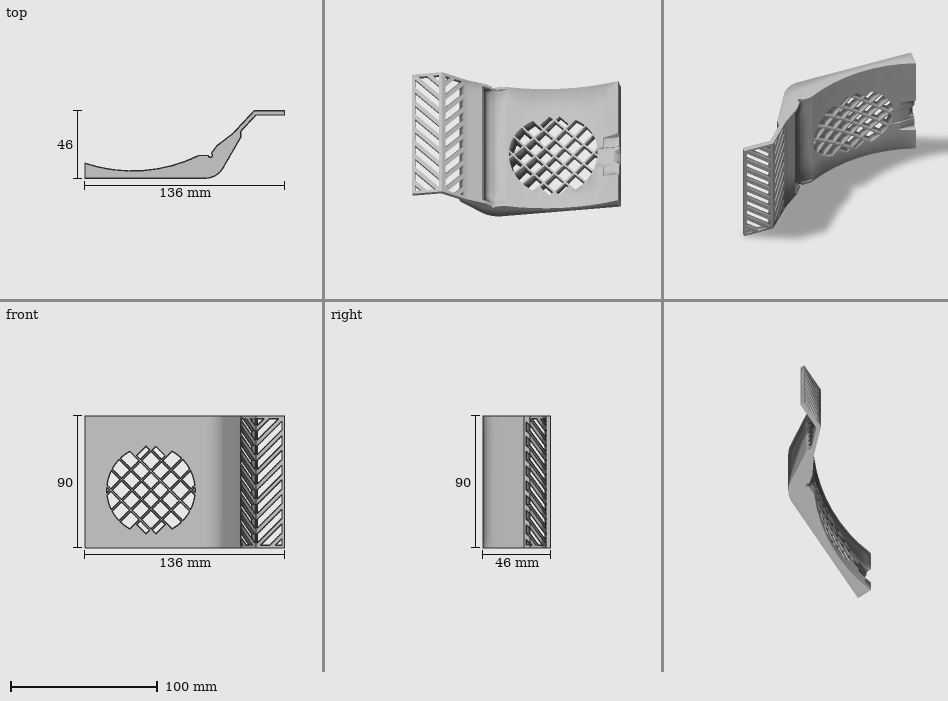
import math

import cadquery as cq

LENGTH = 136.0
DEPTH = 46.0
HEIGHT = 90.0

PANEL_EDGE = 10.35
SCOOP_LOW = (36.0, 5.15)
SCOOP_END = (77.8, 15.7)
LIP_END_X = 85.45

BEND_RADIUS = 14.0
NECK_ANGLE = 60.0
NECK_ROOT_X = 90.0
NECK_END_X = 106.1
NECK_NOTCH_TOP = (86.2, 17.3)
NECK_SHOULDER = (89.9, 22.2)

ARM_ANGLE = 47.0
ARM_THICKNESS = 2.9
ARM_FOOT_Y = 30.6
PLATE_START_X = 115.2
PLATE_THICKNESS = 3.0

GROOVE_DIAMETER = 2.7
END_WALL = 2.0
RECESS_FLOOR_Y = 14.6
RECESS_START_X = 76.0
RECESS_WALL_X = 91.2
RECESS_ARC_TOP_Y = 19.7
RECESS_ARC_BULGE = 0.3
RECESS_TOP = (91.75, 24.0)

WINDOW_MARGIN = 2.0
SLAT_PITCH = 10.0
SLAT_OPENING = 6.0
FIRST_OPENING_Z = 6.7
PLATE_WINDOW_START_X = 117.4
ARM_WINDOW_TOP_Y = 44.0
ARM_WINDOW_ANGLE = 52.5
ARM_WINDOW_BOTTOM_Y = 31.2
ARM_WINDOW_OVERCUT = 0.1

GRILLE_X = 45.0
GRILLE_Z = 39.5
GRILLE_RADIUS = 30.0
BAR_WIDTH = 1.26
BAR_ANGLE = 45.0
INNER_BAR = 9.1
OUTER_BAR = 19.3
PAD_OFFSET = 23.4

ENTRY_Z = 35.0
ENTRY_DEPTH = 10.6
ENTRY_HALF_WIDTH = 14.2
ENTRY_FLOOR_Y = 6.7
ENTRY_SIDE_SLOPE = 0.38
CHANNEL_HALF_WIDTH = 7.1
CHANNEL_FLOOR_Y = 6.2
RAMP_BOTTOM_Y = 2.6
RAMP_HALF_WIDTH = 3.6
RAMP_SIDE_SLOPE = 0.65

CLEAR = 1.0


def slope(angle):
    return math.tan(math.radians(angle))


def unit(angle):
    return math.cos(math.radians(angle)), math.sin(math.radians(angle))


def arm_outer_x(y):
    """X of the arm's outer face at height y of the section."""
    return PLATE_START_X - (DEPTH - y) / slope(ARM_ANGLE)


def make_body():
    """Constant section extruded along Z."""
    bend_tangent = BEND_RADIUS * slope(NECK_ANGLE / 2)
    bend_start_x = NECK_ROOT_X - bend_tangent
    half_cos, half_sin = unit(NECK_ANGLE / 2)
    full_cos, full_sin = unit(NECK_ANGLE)
    bend_middle = (bend_start_x + BEND_RADIUS * half_sin, BEND_RADIUS * (1 - half_cos))
    bend_end = (bend_start_x + BEND_RADIUS * full_sin, BEND_RADIUS * (1 - full_cos))

    neck_end_y = (NECK_END_X - NECK_ROOT_X) * slope(NECK_ANGLE)
    plate_inner_y = DEPTH - PLATE_THICKNESS
    arm_inner_shift = ARM_THICKNESS / math.sin(math.radians(ARM_ANGLE))
    plate_inner_x = arm_outer_x(plate_inner_y) + arm_inner_shift
    arm_inner_foot_y = plate_inner_y - (plate_inner_x - NECK_END_X) * slope(ARM_ANGLE)

    section = (
        cq.Workplane("XY")
        .moveTo(0, 0)
        .lineTo(bend_start_x, 0)
        .threePointArc(bend_middle, bend_end)
        .lineTo(NECK_END_X, neck_end_y)
        .lineTo(NECK_END_X, arm_inner_foot_y)
        .lineTo(plate_inner_x, plate_inner_y)
        .lineTo(LENGTH, plate_inner_y)
        .lineTo(LENGTH, DEPTH)
        .lineTo(PLATE_START_X, DEPTH)
        .lineTo(arm_outer_x(ARM_FOOT_Y), ARM_FOOT_Y)
        .lineTo(*NECK_SHOULDER)
        .lineTo(*NECK_NOTCH_TOP)
        .lineTo(LIP_END_X, SCOOP_END[1])
        .lineTo(*SCOOP_END)
        .threePointArc(SCOOP_LOW, (0, PANEL_EDGE))
        .close()
    )
    return section.extrude(HEIGHT)


def make_wire_groove():
    groove = cq.Workplane("XY").center(LIP_END_X, SCOOP_END[1])
    return groove.circle(GROOVE_DIAMETER / 2).extrude(HEIGHT)


def make_neck_recess():
    """Recess with a hollow wall, closed by a thin wall at each end."""
    arc_middle = (RECESS_WALL_X + RECESS_ARC_BULGE, (RECESS_FLOOR_Y + RECESS_ARC_TOP_Y) / 2)
    section = (
        cq.Workplane("XY", origin=(0, 0, END_WALL))
        .moveTo(RECESS_START_X, RECESS_FLOOR_Y)
        .lineTo(RECESS_WALL_X, RECESS_FLOOR_Y)
        .threePointArc(arc_middle, (RECESS_WALL_X, RECESS_ARC_TOP_Y))
        .lineTo(*RECESS_TOP)
        .lineTo(RECESS_START_X, RECESS_TOP[1])
        .close()
    )
    return section.extrude(HEIGHT - 2 * END_WALL)


def make_slatted_window(origin, direction, length, thickness):
    """Diagonal openings that rise at 45 degrees along `direction`, clipped to a framed window."""
    normal = cq.Vector(*direction).cross(cq.Vector(0, 0, 1))
    plane = cq.Plane(origin=origin, xDir=direction, normal=normal.toTuple())
    frame = (
        cq.Workplane(plane)
        .center(length / 2, HEIGHT / 2)
        .rect(length, HEIGHT - 2 * WINDOW_MARGIN)
        .extrude(thickness, both=True)
    )
    half = SLAT_OPENING / 2
    first = -math.ceil((FIRST_OPENING_Z + length) / SLAT_PITCH)
    last = math.floor(HEIGHT / SLAT_PITCH)
    openings = cq.Workplane(plane)
    for index in range(first, last + 1):
        middle = FIRST_OPENING_Z + index * SLAT_PITCH
        outline = [
            (0, middle - half),
            (length, middle + length - half),
            (length, middle + length + half),
            (0, middle + half),
        ]
        opening = cq.Workplane(plane).polyline(outline).close().extrude(thickness, both=True)
        openings = openings.add(opening)
    return openings.combine().intersect(frame)


def make_plate_window():
    length = LENGTH - WINDOW_MARGIN - PLATE_WINDOW_START_X
    origin = (PLATE_WINDOW_START_X, DEPTH, 0)
    return make_slatted_window(origin, (1, 0, 0), length, PLATE_THICKNESS + CLEAR)


def make_arm_window():
    window_cos, window_sin = unit(ARM_WINDOW_ANGLE)
    length = (ARM_WINDOW_TOP_Y - ARM_WINDOW_BOTTOM_Y) / window_sin
    origin = (arm_outer_x(ARM_WINDOW_TOP_Y), ARM_WINDOW_TOP_Y, 0)
    direction = (-window_cos, -window_sin, 0)
    return make_slatted_window(origin, direction, length, ARM_THICKNESS + ARM_WINDOW_OVERCUT)


def grille_bar(offset, angle):
    """Bar at a distance from the opening's centre, turned about the opening's axis."""
    bar = cq.Workplane("XY").box(2 * GRILLE_RADIUS, DEPTH, BAR_WIDTH).translate((0, 0, offset))
    return bar.rotate((0, 0, 0), (0, 1, 0), angle)


def grille_block(x, z, length, width):
    """Solid block of the opening's rim, set out along the bars with its near corner at (x, z)."""
    block = cq.Workplane("XY").box(length, DEPTH, width)
    return block.translate((x + length / 2, 0, z + width / 2))


def make_grille_opening():
    """Round hole minus the crossed bars and the solid pads at its top and bottom."""
    opening = cq.Workplane("XZ").circle(GRILLE_RADIUS).extrude(DEPTH / 2, both=True)
    for angle in (BAR_ANGLE, -BAR_ANGLE):
        for offset in (-OUTER_BAR, -INNER_BAR, 0, INNER_BAR, OUTER_BAR):
            opening = opening.cut(grille_bar(offset, angle))

    pad_length = GRILLE_RADIUS - INNER_BAR
    pad_width = GRILLE_RADIUS - PAD_OFFSET
    corner_size = GRILLE_RADIUS - OUTER_BAR
    blocks = [
        grille_block(INNER_BAR, PAD_OFFSET, pad_length, pad_width),
        grille_block(PAD_OFFSET, INNER_BAR, pad_width, pad_length),
        grille_block(OUTER_BAR, OUTER_BAR, corner_size, corner_size),
    ]
    for block in blocks:
        for turn in (-BAR_ANGLE, 180 - BAR_ANGLE):
            opening = opening.cut(block.rotate((0, 0, 0), (0, 1, 0), turn))
    return opening.translate((GRILLE_X, DEPTH / 2, GRILLE_Z))


def make_entry_recess():
    """Shallow recess in the free edge, slightly wider towards its mouth."""
    rise = PANEL_EDGE + CLEAR - ENTRY_FLOOR_Y
    mouth = ENTRY_HALF_WIDTH + rise * ENTRY_SIDE_SLOPE
    outline = [
        (ENTRY_FLOOR_Y, ENTRY_Z - ENTRY_HALF_WIDTH),
        (ENTRY_FLOOR_Y + rise, ENTRY_Z - mouth),
        (ENTRY_FLOOR_Y + rise, ENTRY_Z + mouth),
        (ENTRY_FLOOR_Y, ENTRY_Z + ENTRY_HALF_WIDTH),
    ]
    return cq.Workplane("YZ").polyline(outline).close().extrude(ENTRY_DEPTH)


def make_entry_channel():
    """Channel from the free edge into the round opening."""
    lower_edge_drop = GRILLE_Z - ENTRY_Z + CHANNEL_HALF_WIDTH
    length = GRILLE_X - math.sqrt(GRILLE_RADIUS**2 - lower_edge_drop**2)
    size = (length, PANEL_EDGE - CHANNEL_FLOOR_Y, 2 * CHANNEL_HALF_WIDTH)
    channel = cq.Workplane("XY").box(*size, centered=(False, False, True))
    return channel.translate((0, CHANNEL_FLOOR_Y, ENTRY_Z))


def make_entry_ramp():
    """Trough with flared sides, rising at 45 degrees from the free edge to the channel floor."""
    rise = CHANNEL_FLOOR_Y - RAMP_BOTTOM_Y
    top = RAMP_HALF_WIDTH + rise * RAMP_SIDE_SLOPE
    outline = [
        (RAMP_BOTTOM_Y, ENTRY_Z - RAMP_HALF_WIDTH),
        (CHANNEL_FLOOR_Y, ENTRY_Z - top),
        (CHANNEL_FLOOR_Y, ENTRY_Z + top),
        (RAMP_BOTTOM_Y, ENTRY_Z + RAMP_HALF_WIDTH),
    ]
    start = cq.Wire.makePolygon([cq.Vector(0, y, z) for y, z in outline], close=True)
    trough = cq.Solid.extrudeLinear(start, [], cq.Vector(rise, rise, 0))
    below_channel = cq.Workplane("XY").box(rise, CHANNEL_FLOOR_Y, HEIGHT, centered=False)
    return below_channel.intersect(cq.Workplane(trough))


result = (
    make_body()
    .cut(make_wire_groove())
    .cut(make_neck_recess())
    .cut(make_plate_window())
    .cut(make_arm_window())
    .cut(make_grille_opening())
    .cut(make_entry_recess())
    .cut(make_entry_channel())
    .cut(make_entry_ramp())
)